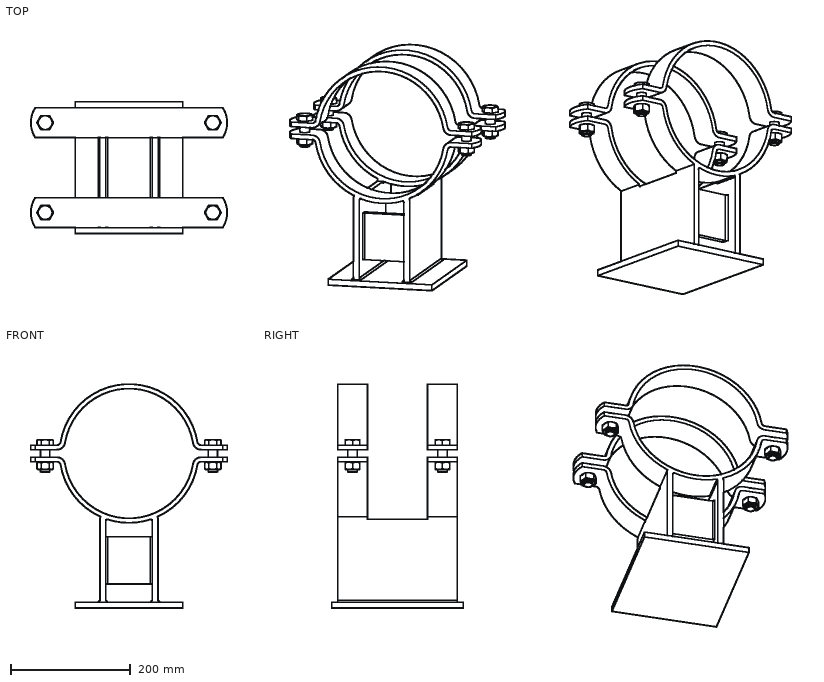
import cadquery as cq
import math

base_length_x = 180.0
base_width_y = 220.0
base_thickness = 10.0

upright_length_y = 200.0
upright_thickness = 10.0
upright_inner_x = 38.5
upright_outer_x = upright_inner_x + upright_thickness
web_bottom_z = 40.0
web_height = 79.3
web_thickness = 10.0
web_face_inset = 23.2
weld_leg = 3.0

total_height = 374.0
clamp_outer_radius = 116.0
clamp_center_z = total_height - clamp_outer_radius
band_thickness = 8.0
band_width = 50.0
clamp_inner_radius = clamp_outer_radius - band_thickness
clamp_center_y = (upright_length_y - band_width) / 2
lug_gap = 12.5
clamp_length_x = 328.0
lug_tip_x = clamp_length_x / 2
lug_tip_bulge = 7.5
lug_corner_x = lug_tip_x - lug_tip_bulge
bend_inner_radius = 6.0
bend_outer_radius = bend_inner_radius + band_thickness

bolt_x = 140.0
bolt_diameter = 16.0
bolt_end_chamfer = 1.0
bolt_end_overhang = 4.0
hex_across_flats = 24.0
hex_across_corners = hex_across_flats / math.cos(math.pi / 6)
head_height = 9.0
nut_height = 13.0
nut_face_diameter = 22.0
head_face_diameter = 23.2
hex_chamfer_angle = math.radians(30)

lug_inner_z = lug_gap / 2
lug_outer_z = lug_inner_z + band_thickness

upright_top_z = clamp_center_z - math.sqrt(clamp_outer_radius**2 - upright_inner_x**2)


def prism_along_y(outline, length):
    """Extrude a closed XZ outline equally to both sides of y = 0."""
    return outline.extrude(length / 2, both=True)


def mirrored_x(shape):
    """The shape together with its mirror image across x = 0."""
    return shape.union(shape.mirror("YZ"))


def make_base():
    """Flat base plate standing on z = 0."""
    return cq.Workplane("XY").rect(base_length_x, base_width_y).extrude(base_thickness)


def make_uprights():
    """Two upright plates with fillet welds along both sides of their feet."""
    outline = (
        cq.Workplane("XZ")
        .moveTo(upright_inner_x - weld_leg, base_thickness)
        .lineTo(upright_inner_x, base_thickness + weld_leg)
        .lineTo(upright_inner_x, upright_top_z)
        .lineTo(upright_outer_x, upright_top_z)
        .lineTo(upright_outer_x, base_thickness + weld_leg)
        .lineTo(upright_outer_x + weld_leg, base_thickness)
        .close()
    )
    return mirrored_x(prism_along_y(outline, upright_length_y))


def make_webs():
    """Web plates near both ends, with a corner weld at each outer edge."""
    face_y = -upright_length_y / 2 + web_face_inset
    back_y = face_y + web_thickness
    web = (
        cq.Workplane("XY")
        .workplane(offset=web_bottom_z)
        .polyline([
            (-upright_inner_x, face_y - weld_leg),
            (-upright_inner_x + weld_leg, face_y),
            (upright_inner_x - weld_leg, face_y),
            (upright_inner_x, face_y - weld_leg),
            (upright_inner_x, back_y),
            (-upright_inner_x, back_y),
        ])
        .close()
        .extrude(web_height)
    )
    return web.union(web.mirror("XZ"))


def make_half_band():
    """Upper half band about the clamp center: arch, bends and flat lugs with curved tips."""
    bend_z = lug_outer_z + bend_inner_radius
    center_distance = clamp_outer_radius + bend_inner_radius
    bend_x = math.sqrt(center_distance**2 - bend_z**2)
    tangent_angle = math.asin(bend_z / center_distance)
    toward_center = math.pi + tangent_angle
    straight_down = 3 * math.pi / 2
    middle_angle = (toward_center + straight_down) / 2

    def on_arch(radius, side):
        return (side * radius * math.cos(tangent_angle), radius * math.sin(tangent_angle))

    def on_bend(radius, side):
        x = bend_x + radius * math.cos(middle_angle)
        return (side * x, bend_z + radius * math.sin(middle_angle))

    outline = (
        cq.Workplane("XZ")
        .moveTo(-lug_tip_x, lug_outer_z)
        .lineTo(-bend_x, lug_outer_z)
        .threePointArc(on_bend(bend_inner_radius, -1), on_arch(clamp_outer_radius, -1))
        .threePointArc((0, clamp_outer_radius), on_arch(clamp_outer_radius, 1))
        .threePointArc(on_bend(bend_inner_radius, 1), (bend_x, lug_outer_z))
        .lineTo(lug_tip_x, lug_outer_z)
        .lineTo(lug_tip_x, lug_inner_z)
        .lineTo(bend_x, lug_inner_z)
        .threePointArc(on_bend(bend_outer_radius, 1), on_arch(clamp_inner_radius, 1))
        .threePointArc((0, clamp_inner_radius), on_arch(clamp_inner_radius, -1))
        .threePointArc(on_bend(bend_outer_radius, -1), (-bend_x, lug_inner_z))
        .lineTo(-lug_tip_x, lug_inner_z)
        .close()
    )
    half_width = band_width / 2
    plan = (
        cq.Workplane("XY")
        .moveTo(-lug_corner_x, -half_width)
        .lineTo(lug_corner_x, -half_width)
        .threePointArc((lug_tip_x, 0), (lug_corner_x, half_width))
        .lineTo(-lug_corner_x, half_width)
        .threePointArc((-lug_tip_x, 0), (-lug_corner_x, -half_width))
        .close()
        .extrude(clamp_outer_radius)
    )
    return prism_along_y(outline, band_width).intersect(plan)


def make_hex(height, face_diameter):
    """Hexagonal prism from z = 0 upward, its top corners turned down to face_diameter."""
    side_drop = (hex_across_corners - face_diameter) / 2 * math.tan(hex_chamfer_angle)
    turned = (
        cq.Workplane("XZ")
        .lineTo(hex_across_corners / 2, 0)
        .lineTo(hex_across_corners / 2, height - side_drop)
        .lineTo(face_diameter / 2, height)
        .lineTo(0, height)
        .close()
        .revolve()
    )
    return cq.Workplane("XY").polygon(6, hex_across_corners).extrude(height).intersect(turned)


def make_bolt():
    """Bolt and nut about the clamp center height, head up."""
    bolt_end_z = lug_outer_z + nut_height + bolt_end_overhang
    shank = (
        cq.Workplane("XY")
        .workplane(offset=-bolt_end_z)
        .circle(bolt_diameter / 2)
        .extrude(bolt_end_z + lug_outer_z)
        .faces("<Z")
        .chamfer(bolt_end_chamfer)
    )
    head = make_hex(head_height, head_face_diameter).translate((0, 0, lug_outer_z))
    nut = make_hex(nut_height, nut_face_diameter)
    nut = nut.intersect(nut.mirror("XY").translate((0, 0, nut_height)))
    nut = nut.mirror("XY").translate((0, 0, -lug_outer_z))
    return shank.union(head).union(nut)


def make_clamp():
    """Complete clamp with two bolts, centered on the origin."""
    upper = make_half_band()
    clamp = upper.union(upper.mirror("XY"))
    bolt = make_bolt()
    for x in (-bolt_x, bolt_x):
        clamp = clamp.union(bolt.translate((x, 0, 0)))
    return clamp


def make_clamp_weld():
    """Weld filling the wedge between an upright and the band, plus a bead inside the corner."""

    def band_middle_z(x):
        radius = clamp_outer_radius - band_thickness / 2
        return clamp_center_z - math.sqrt(radius**2 - x**2)

    toe_x = upright_inner_x - weld_leg
    crown_x = upright_outer_x - weld_leg / 2
    outline = (
        cq.Workplane("XZ")
        .moveTo(upright_inner_x, upright_top_z - weld_leg)
        .lineTo(upright_outer_x, upright_top_z - weld_leg)
        .lineTo(upright_outer_x, upright_top_z)
        .lineTo(crown_x, band_middle_z(crown_x))
        .lineTo(toe_x, band_middle_z(toe_x))
        .close()
    )
    return mirrored_x(prism_along_y(outline, band_width))


result = make_base().union(make_uprights()).union(make_webs())
clamp = make_clamp().translate((0, 0, clamp_center_z)).union(make_clamp_weld())
for y in (-clamp_center_y, clamp_center_y):
    result = result.union(clamp.translate((0, y, 0)))